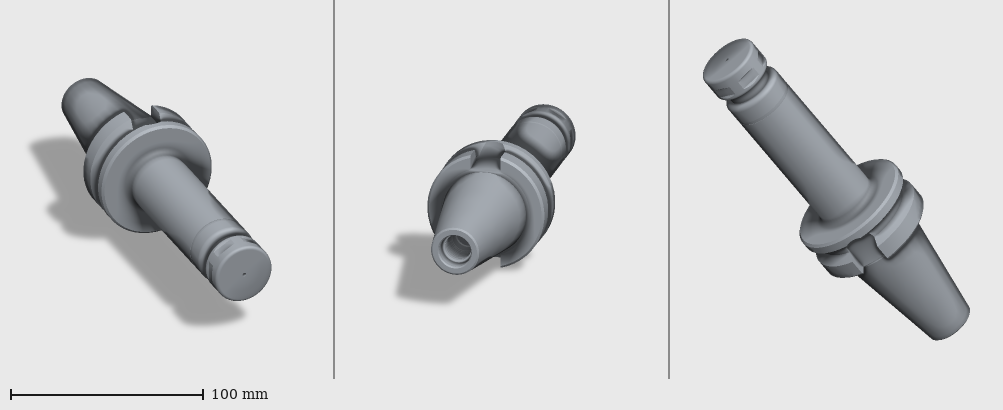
import cadquery as cq
import math

TOTAL_LENGTH = 200.5
X_TIP = -TOTAL_LENGTH / 2
X_NOSE = TOTAL_LENGTH / 2

TAPER_RATE = 7 / 24
TAPER_LENGTH = 65.3
GAUGE_RADIUS = 22.2
TIP_RADIUS = GAUGE_RADIUS - TAPER_LENGTH * TAPER_RATE / 2
TIP_CHAMFER = 0.8
NECK_RADIUS = 21.6
NECK_CHAMFER = 0.8
NECK_FLARE_LENGTH = 0.6
NECK_FLARE_RADIUS = 23.8

X_FLANGE = X_TIP + 67.0
FLANGE_LENGTH = 25.5
X_FLANGE_END = X_FLANGE + FLANGE_LENGTH
FLANGE_RADIUS = 31.5
REAR_RIM_RADIUS = 31.3
REAR_RIM_LENGTH = 9.8
GROOVE_RADIUS = 26.0
GROOVE_FLOOR_LENGTH = 4.0
GROOVE_SLOPE = math.tan(math.radians(30))
REAR_RIM_CHAMFER = 1.2
FRONT_RIM_CHAMFER = 1.2

SLOT_WIDTH = 16.0
SLOT_FLOOR = 22.6
SLOT_LENGTH = 21.2

BODY_RADIUS = 16.0
BODY_FILLET = 3.0
X_BODY_END = X_TIP + 180.0
BODY_END_FILLET = 2.5
RELIEF_START = 12.0
RELIEF_RAMP = 1.8
RELIEF_DEPTH = 0.2

NUT_NECK_RADIUS = 12.0
NUT_LENGTH = 14.6
NUT_RADIUS = 16.0
NUT_REAR_FILLET = 1.8
NUT_FRONT_FILLET = 1.6
FLAT_COUNT = 6
FLAT_DISTANCE = 15.0
FLAT_START = 3.2
FLAT_LENGTH = 5.0

BORE_RADIUS = 17.0 / 2
BORE_MOUTH_RADIUS = 18.2 / 2
BORE_MOUTH_LENGTH = 1.0
BORE_DEPTH = 7.0
THREAD_MAJOR_RADIUS = 8.0
THREAD_MINOR_RADIUS = 7.0
THREAD_PITCH = 2.0
THREAD_TURNS = 8
THREAD_HOLE_DEPTH = 30.0
THREAD_FLOOR_RADIUS = 6.5
COOLANT_RADIUS = 5.0 / 2
OUTLET_RADIUS = 2.0 / 2


def turned(profile):
    """Revolve a closed (X, radius) profile about the X axis."""
    return profile.close().revolve(360, (0, 0, 0), (1, 0, 0))


def shank_and_flange():
    x_gauge = X_TIP + TAPER_LENGTH
    rear_rim_end = X_FLANGE + REAR_RIM_LENGTH
    groove_start = rear_rim_end + (REAR_RIM_RADIUS - GROOVE_RADIUS) * GROOVE_SLOPE
    groove_end = groove_start + GROOVE_FLOOR_LENGTH
    front_rim_start = groove_end + (FLANGE_RADIUS - GROOVE_RADIUS) * GROOVE_SLOPE
    return turned(
        cq.Workplane("XY")
        .moveTo(X_TIP, 0)
        .lineTo(X_TIP, TIP_RADIUS - TIP_CHAMFER)
        .lineTo(X_TIP + TIP_CHAMFER, TIP_RADIUS + TIP_CHAMFER * TAPER_RATE / 2)
        .lineTo(x_gauge, GAUGE_RADIUS)
        .lineTo(x_gauge + NECK_CHAMFER, NECK_RADIUS)
        .lineTo(X_FLANGE - NECK_FLARE_LENGTH, NECK_RADIUS)
        .lineTo(X_FLANGE, NECK_FLARE_RADIUS)
        .lineTo(X_FLANGE, REAR_RIM_RADIUS - REAR_RIM_CHAMFER)
        .lineTo(X_FLANGE + REAR_RIM_CHAMFER, REAR_RIM_RADIUS)
        .lineTo(rear_rim_end, REAR_RIM_RADIUS)
        .lineTo(groove_start, GROOVE_RADIUS)
        .lineTo(groove_end, GROOVE_RADIUS)
        .lineTo(front_rim_start, FLANGE_RADIUS)
        .lineTo(X_FLANGE_END - FRONT_RIM_CHAMFER, FLANGE_RADIUS)
        .lineTo(X_FLANGE_END, FLANGE_RADIUS - FRONT_RIM_CHAMFER)
        .lineTo(X_FLANGE_END, 0)
    )


def drive_slots():
    """Two round-ended keyways, open towards the shank."""
    half_width = SLOT_WIDTH / 2
    outline = (
        cq.Workplane("XY", origin=(X_FLANGE, 0, SLOT_FLOOR))
        .moveTo(-NECK_FLARE_LENGTH, -half_width)
        .lineTo(SLOT_LENGTH - half_width, -half_width)
        .threePointArc((SLOT_LENGTH, 0), (SLOT_LENGTH - half_width, half_width))
        .lineTo(-NECK_FLARE_LENGTH, half_width)
        .close()
    )
    upper = outline.extrude(FLANGE_RADIUS)
    return upper.union(upper.mirror("XY"))


def body():
    relief_start = X_BODY_END - RELIEF_START
    fillet_centre = (X_FLANGE_END + BODY_FILLET, BODY_RADIUS + BODY_FILLET)
    fillet_reach = BODY_FILLET * math.sqrt(0.5)
    end_centre = (X_BODY_END - BODY_END_FILLET, BODY_RADIUS - BODY_END_FILLET)
    end_reach = BODY_END_FILLET * math.sqrt(0.5)
    return turned(
        cq.Workplane("XY")
        .moveTo(X_FLANGE_END, 0)
        .lineTo(X_FLANGE_END, BODY_RADIUS + BODY_FILLET)
        .threePointArc(
            (fillet_centre[0] - fillet_reach, fillet_centre[1] - fillet_reach),
            (fillet_centre[0], BODY_RADIUS),
        )
        .lineTo(relief_start, BODY_RADIUS)
        .lineTo(relief_start, BODY_RADIUS - RELIEF_DEPTH)
        .lineTo(relief_start + RELIEF_RAMP, BODY_RADIUS)
        .lineTo(end_centre[0], BODY_RADIUS)
        .threePointArc(
            (end_centre[0] + end_reach, end_centre[1] + end_reach),
            (X_BODY_END, end_centre[1]),
        )
        .lineTo(X_BODY_END, 0)
    )


def nut_flats(x_nut):
    """Wrench pockets around the nut: flat floors with 45-degree end walls."""
    depth = NUT_RADIUS - FLAT_DISTANCE
    x_start = x_nut + FLAT_START
    x_end = x_start + FLAT_LENGTH
    pocket = (
        cq.Workplane("XY", origin=(0, 0, -NUT_RADIUS / 2))
        .moveTo(x_start, FLAT_DISTANCE)
        .lineTo(x_start - depth, NUT_RADIUS)
        .lineTo(x_end + depth, NUT_RADIUS)
        .lineTo(x_end, FLAT_DISTANCE)
        .close()
        .extrude(NUT_RADIUS)
    )
    flats = cq.Workplane("XY")
    for index in range(FLAT_COUNT):
        angle = index * 360 / FLAT_COUNT
        flats = flats.union(pocket.rotate((0, 0, 0), (1, 0, 0), angle))
    return flats


def collet_nut():
    x_nut = X_NOSE - NUT_LENGTH
    neck_length = x_nut - X_BODY_END
    neck = cq.Workplane("YZ", origin=(X_BODY_END, 0, 0)).circle(NUT_NECK_RADIUS).extrude(neck_length)
    nut = cq.Workplane("YZ", origin=(x_nut, 0, 0)).circle(NUT_RADIUS).extrude(NUT_LENGTH)
    nut = nut.faces("<X").edges().fillet(NUT_REAR_FILLET)
    nut = nut.faces(">X").edges().fillet(NUT_FRONT_FILLET)
    return neck.union(nut.cut(nut_flats(x_nut)))


def rear_bore():
    """Stepped bore with ring grooves for the thread, then the coolant bore to the nose."""
    x_shoulder = X_TIP + BORE_DEPTH
    x_thread_floor = X_TIP + THREAD_HOLE_DEPTH
    floor_chamfer = THREAD_MINOR_RADIUS - THREAD_FLOOR_RADIUS
    x_outlet = X_NOSE - NUT_LENGTH
    flank = (THREAD_MAJOR_RADIUS - THREAD_MINOR_RADIUS) * math.tan(math.radians(30))
    profile = (
        cq.Workplane("XY")
        .moveTo(X_TIP, 0)
        .lineTo(X_TIP, BORE_MOUTH_RADIUS)
        .lineTo(X_TIP + BORE_MOUTH_LENGTH, BORE_RADIUS)
        .lineTo(x_shoulder, BORE_RADIUS)
        .lineTo(x_shoulder, THREAD_MAJOR_RADIUS)
        .lineTo(x_shoulder + flank, THREAD_MINOR_RADIUS)
    )
    for turn in range(1, THREAD_TURNS + 1):
        x_groove = x_shoulder + turn * THREAD_PITCH
        profile = (
            profile
            .lineTo(x_groove - flank, THREAD_MINOR_RADIUS)
            .lineTo(x_groove, THREAD_MAJOR_RADIUS)
            .lineTo(x_groove + flank, THREAD_MINOR_RADIUS)
        )
    return turned(
        profile
        .lineTo(x_thread_floor - floor_chamfer, THREAD_MINOR_RADIUS)
        .lineTo(x_thread_floor, THREAD_FLOOR_RADIUS)
        .lineTo(x_thread_floor, COOLANT_RADIUS)
        .lineTo(x_outlet, COOLANT_RADIUS)
        .lineTo(x_outlet, OUTLET_RADIUS)
        .lineTo(X_NOSE, OUTLET_RADIUS)
        .lineTo(X_NOSE, 0)
    )


result = (
    shank_and_flange()
    .cut(drive_slots())
    .union(body())
    .union(collet_nut())
    .cut(rear_bore())
)